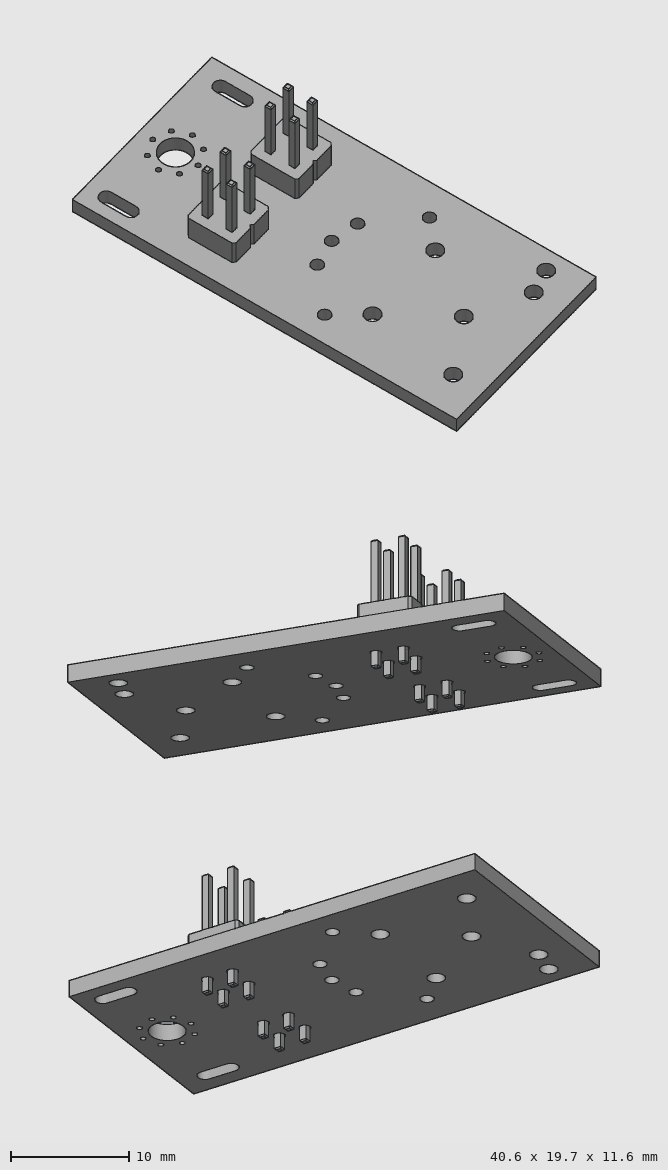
import cadquery as cq
import math


board_length = 40.65
board_width = 19.7
board_thickness = 1.6
board_center_y = 0.35

slot_length = 4.0
slot_width = 1.4
slot_centers = [(3.8, 8.05), (3.45, -7.55)]

ring_center = (3.85, -0.1)
ring_hole_diameter = 3.2
via_diameter = 0.5
via_count = 8
via_circle_radius = 2.4

small_hole_diameter = 1.2
small_pair_x = 20.93
small_pair_y = 2.85
small_holes = [
    (20.3, 0.0),
    (small_pair_x, small_pair_y),
    (small_pair_x, -small_pair_y),
    (25.4, 7.05),
    (24.75, -6.9),
]

header_offset_y = 4.45
large_hole_diameter = 1.6
large_inner_x = 27.95
large_outer_x = 37.43
large_outer_y = 5.7
large_holes = [
    (34.3, 0.0),
    (large_inner_x, header_offset_y),
    (large_inner_x, -header_offset_y),
    (large_outer_x, large_outer_y),
    (large_outer_x, -large_outer_y),
    (36.8, 8.25),
]

block_side = 5.1
pins_per_side = 2
pin_pitch = block_side / pins_per_side
header_x = 12.7
header_centers = [(header_x, header_offset_y), (header_x, -header_offset_y)]
block_height = pin_pitch
block_chamfer = 0.25
pin_width = 0.65
pin_tip_chamfer = 0.12
pin_above_block = 6.0
pin_below_board = 1.4
pin_hole_diameter = 1.0

pin_bottom = -board_thickness - pin_below_board
pin_length = block_height + pin_above_block - pin_bottom


def pin_centers(center):
    """Centers of the four pins of the header at the given place."""
    return [
        (center[0] + side_x * pin_pitch / 2, center[1] + side_y * pin_pitch / 2)
        for side_x in (-1, 1)
        for side_y in (-1, 1)
    ]


def via_centers():
    """Evenly spaced via centers on the circle around the ring hole."""
    step = 2 * math.pi / via_count
    return [
        (
            ring_center[0] + via_circle_radius * math.cos(index * step),
            ring_center[1] + via_circle_radius * math.sin(index * step),
        )
        for index in range(via_count)
    ]


def drill(body, centers, diameter):
    """Cut round holes through the whole board."""
    drills = cq.Workplane("XY").pushPoints(centers).circle(diameter / 2).extrude(-board_thickness)
    return body.cut(drills)


def make_board():
    """Flat board with slots, round holes and a clearance hole for every header pin."""
    body = (
        cq.Workplane("XY")
        .center(board_length / 2, board_center_y)
        .rect(board_length, board_width)
        .extrude(-board_thickness)
    )
    slots = (
        cq.Workplane("XY")
        .pushPoints(slot_centers)
        .slot2D(slot_length, slot_width)
        .extrude(-board_thickness)
    )
    body = body.cut(slots)
    body = drill(body, [ring_center], ring_hole_diameter)
    body = drill(body, via_centers(), via_diameter)
    body = drill(body, small_holes, small_hole_diameter)
    body = drill(body, large_holes, large_hole_diameter)
    for center in header_centers:
        body = drill(body, pin_centers(center), pin_hole_diameter)
    return body


def make_pin(center):
    """Square pin with both ends chamfered."""
    return (
        cq.Workplane("XY", origin=(*center, pin_bottom))
        .rect(pin_width, pin_width)
        .extrude(pin_length)
        .faces("<Z or >Z")
        .chamfer(pin_tip_chamfer)
    )


def make_block_row(center):
    """One row of the plastic block, with its four upright edges chamfered."""
    return (
        cq.Workplane("XY")
        .center(*center)
        .rect(block_side, pin_pitch)
        .extrude(block_height)
        .edges("|Z")
        .chamfer(block_chamfer)
    )


def make_header(center):
    """Header of two joined rows and four pins; the chamfers where rows meet leave a V-groove on each end."""
    header_center_x, header_center_y = center
    lower_row = make_block_row((header_center_x, header_center_y - pin_pitch / 2))
    upper_row = make_block_row((header_center_x, header_center_y + pin_pitch / 2))
    header = lower_row.union(upper_row)
    for pin_center in pin_centers(center):
        header = header.union(make_pin(pin_center))
    return header.clean()


board = make_board()
headers = [make_header(center) for center in header_centers]

result = cq.Compound.makeCompound([board.val(), *[header.val() for header in headers]])